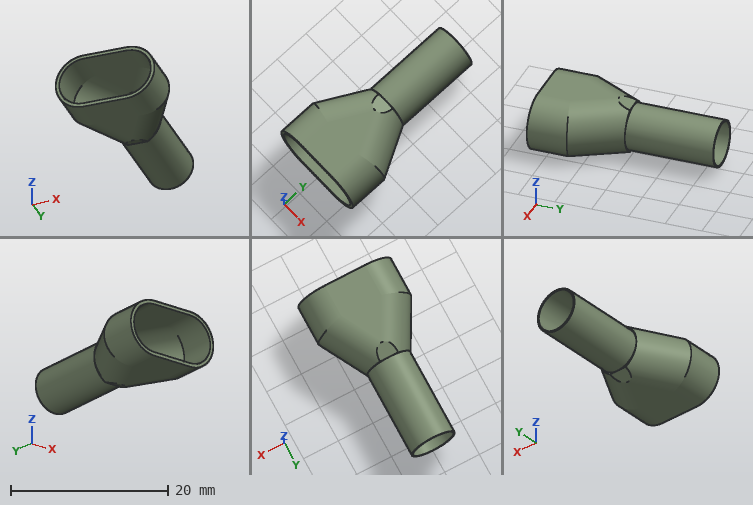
import cadquery as cq
import math


total_length = 24.0
neck_y = 12.0

tube_radius = 3.1
tube_wall = 0.2
bore_radius = tube_radius - tube_wall

collar_width = 13.4
collar_height = 7.6
collar_wall = 0.5
end_radius = collar_height / 2
end_center_x = collar_width / 2 - end_radius

bend_y = 4.5
ridge_y = 9.83
side_tilt = math.degrees(math.atan2(end_center_x, ridge_y - bend_y))

facet_start_y = 10.0
facet_angle = math.atan2(end_radius - tube_radius, neck_y - facet_start_y)

bar_half_length = 2 * neck_y
bar_reach = 2 * collar_width


def y_cylinder(radius, start_y, end_y):
    """Round rod along Y, centred on the part axis."""
    plane = cq.Workplane("XZ", origin=(0, start_y, 0))
    return plane.circle(radius).extrude(start_y - end_y)


def mouth_slot(inset):
    """Straight slot-shaped bar from the mouth to the neck."""
    width = collar_width - 2 * inset
    height = collar_height - 2 * inset
    return cq.Workplane("XZ").slot2D(width, height).extrude(-neck_y)


def tilted_bar(inset, side):
    """Bar with one round edge that leans inward; side is +1 for +X and -1 for -X."""
    radius = end_radius - inset
    bar = (
        cq.Workplane("XZ")
        .moveTo(-bar_reach, -radius)
        .lineTo(0, -radius)
        .threePointArc((radius, 0), (0, radius))
        .lineTo(-bar_reach, radius)
        .close()
        .extrude(bar_half_length, both=True)
        .rotate((0, 0, 0), (0, 0, 1), side_tilt)
        .translate((end_center_x, bend_y, 0))
    )
    if side < 0:
        bar = bar.mirror("YZ")
    return bar


def facet_wedge(inset):
    """Side profile, with the sloped facets near the neck, extruded across the collar."""
    half_height = end_radius - inset
    neck_half_height = tube_radius - inset / math.cos(facet_angle)
    slope_start = neck_y - (half_height - neck_half_height) / math.tan(facet_angle)
    return (
        cq.Workplane("YZ")
        .polyline([
            (0, -half_height),
            (slope_start, -half_height),
            (neck_y, -neck_half_height),
            (neck_y, neck_half_height),
            (slope_start, half_height),
            (0, half_height),
        ])
        .close()
        .extrude(collar_width, both=True)
    )


def collar_shape(inset):
    """Solid form of the collar, shrunk by inset on every lengthwise wall."""
    shape = mouth_slot(inset)
    for side in (1, -1):
        shape = shape.intersect(tilted_bar(inset, side))
    return shape.intersect(facet_wedge(inset))


def make_collar():
    """Thin-walled collar, opened at the neck to the bore of the tube."""
    cavity = collar_shape(collar_wall)
    bore = y_cylinder(bore_radius, 0, neck_y)
    return collar_shape(0).cut(cavity).cut(bore)


def make_tube():
    """Thin round tube that butts against the neck of the collar."""
    outside = y_cylinder(tube_radius, neck_y, total_length)
    return outside.cut(y_cylinder(bore_radius, neck_y, total_length))


collar = make_collar()
tube = make_tube()

result = cq.Compound.makeCompound([collar.solids().val(), tube.solids().val()])